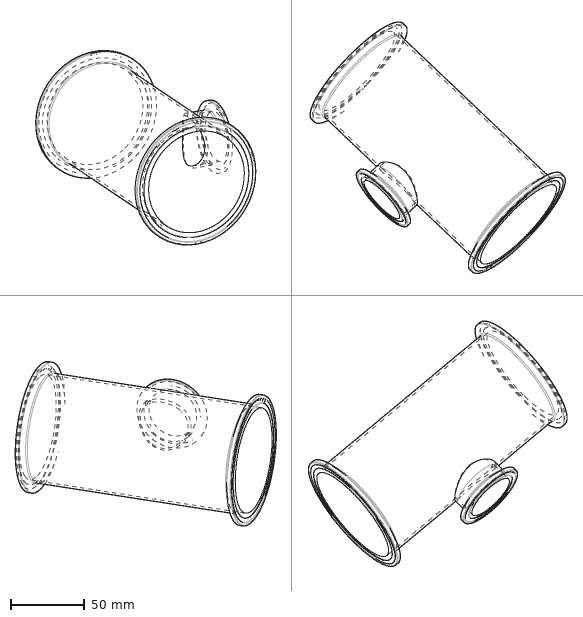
import cadquery as cq
import math


run_length = 157.2
run_outer_radius = 76.2 / 2
run_bore_radius = 73.0 / 2
run_flange_radius = 90.9 / 2
run_groove_radius = 41.5

branch_reach = 99.2 - run_flange_radius
branch_outer_radius = 38.0 / 2
branch_bore_radius = 34.7 / 2
branch_flange_radius = 50.5 / 2
branch_groove_radius = 21.7

ferrule_length = 12.7
rim_thickness = 3.0
flange_back_angle = math.radians(20)
rim_front_round = 0.5
rim_back_round = 0.5
hub_fillet = 1.1
groove_width = 3.1
groove_depth = 1.1
groove_edge_round = 0.5


def cylinder(radius, start, end):
    """Solid cylinder on the Z axis between two heights."""
    return cq.Workplane("XY").workplane(offset=start).circle(radius).extrude(end - start)


def ferrule(tube_radius, flange_radius, groove_radius):
    """Ferrule without its bore, with its sealing face on the base plane and its back towards +Z."""
    back_rise = (flange_radius - tube_radius) * math.tan(flange_back_angle)
    cone_end = rim_thickness + back_rise

    body = (
        cq.Workplane("XZ")
        .lineTo(flange_radius, 0)
        .lineTo(flange_radius, rim_thickness)
        .lineTo(tube_radius, cone_end)
        .lineTo(tube_radius, ferrule_length)
        .lineTo(0, ferrule_length)
        .close()
        .revolve(360, (0, 0, 0), (0, 1, 0))
    )
    body = round_circle(body, flange_radius, 0, rim_front_round)
    body = round_circle(body, flange_radius, rim_thickness, rim_back_round)
    body = round_circle(body, tube_radius, cone_end, hub_fillet)

    gasket_groove = (
        cq.Workplane("XZ")
        .moveTo(groove_radius - groove_width / 2, 0)
        .threePointArc((groove_radius, groove_depth), (groove_radius + groove_width / 2, 0))
        .close()
        .revolve(360, (0, 0, 0), (0, 1, 0))
    )
    body = body.cut(gasket_groove)
    for edge_radius in (groove_radius - groove_width / 2, groove_radius + groove_width / 2):
        body = round_circle(body, edge_radius, 0, groove_edge_round)
    return body


def round_circle(body, radius, height, round_radius):
    """Round the circular edge that has the given radius and height on the Z axis."""
    tolerance = 0.02
    reach = radius + tolerance
    edge_box = cq.selectors.BoxSelector(
        (-reach, -reach, height - tolerance),
        (reach, reach, height + tolerance),
        boundingbox=True,
    )
    radius_selector = cq.selectors.RadiusNthSelector(-1)
    return body.edges(edge_box).edges(radius_selector).fillet(round_radius)


def turn_to_run(body):
    """Move a body from the Z axis to the run axis, starting at the -X end."""
    return body.rotate((0, 0, 0), (0, 1, 0), 90).translate((-run_length / 2, 0, 0))


def turn_to_branch(body):
    """Move a body from the Z axis to the branch axis, starting at the branch end face."""
    return body.rotate((0, 0, 0), (1, 0, 0), 90).translate((0, branch_reach, 0))


run_ferrule = turn_to_run(ferrule(run_outer_radius, run_flange_radius, run_groove_radius))
branch_ferrule = turn_to_branch(ferrule(branch_outer_radius, branch_flange_radius, branch_groove_radius))

run_tube = turn_to_run(cylinder(run_outer_radius, ferrule_length, run_length - ferrule_length))
branch_tube = turn_to_branch(cylinder(branch_outer_radius, ferrule_length, branch_reach))

run_bore = turn_to_run(cylinder(run_bore_radius, 0, run_length))
branch_bore = turn_to_branch(cylinder(branch_bore_radius, 0, branch_reach))

result = (
    run_tube.union(run_ferrule)
    .union(run_ferrule.mirror("YZ"))
    .union(branch_tube)
    .union(branch_ferrule)
    .cut(run_bore)
    .cut(branch_bore)
)